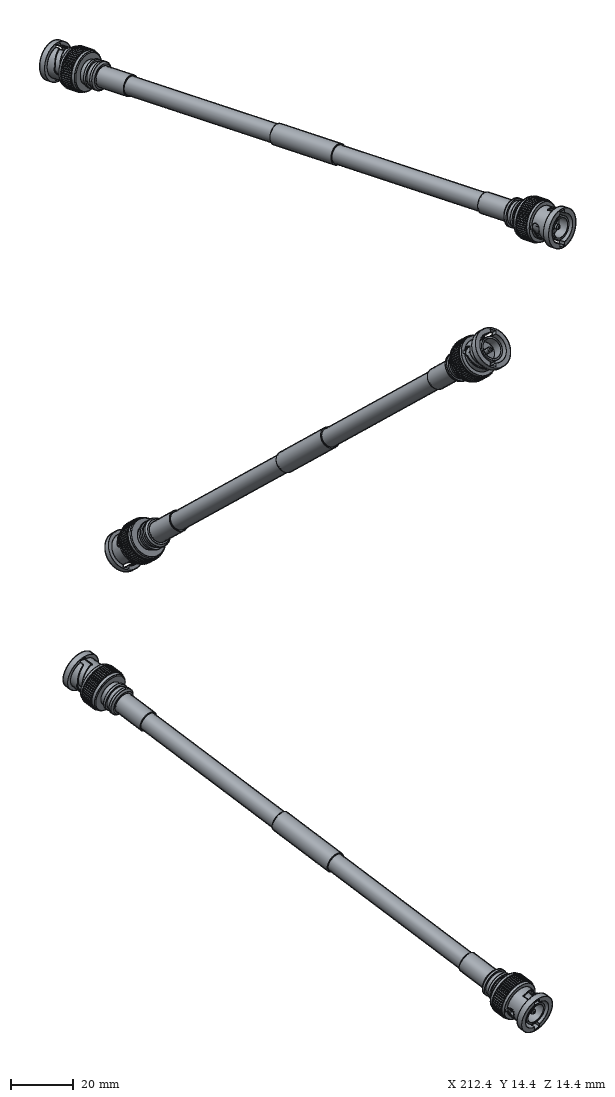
import cadquery as cq
import math

LENGTH = 212.4
KNURL_RADIUS = 7.2
CABLE_RADIUS = 3.2

FRONT_FLANGE_END = 2.1
COLLAR_START = 8.0
KNURL_START = 9.1
KNURL_END = 13.4
COLLAR_END = 14.9
FRONT_RIB_START = 16.8
FRONT_RIB_WIDTH = 0.8
REAR_RIB_START = 19.3
REAR_RIB_WIDTH = 1.5
CONNECTOR_END = REAR_RIB_START + REAR_RIB_WIDTH
FERRULE_END = 32.3

COLLAR_RADIUS = 6.8
SHELL_RADIUS = 5.5
RIB_RADIUS = 4.9
NECK_RADIUS = 4.2
FERRULE_RADIUS = 3.6
COLLAR_CHAMFER = 0.32
RIB_CHAMFER = 0.6

SOCKET_DEPTH = 9.8
SOCKET_RADIUS = 5.0
TUBE_RADIUS = 4.0
TUBE_BORE_RADIUS = 3.5
TUBE_SETBACK = 0.6
INSULATOR_SETBACK = 4.2
PIN_RADIUS = 0.8
PIN_CHAMFER = 0.5
PIN_SETBACK = 1.3

SLOT_COUNT = 2
SLOT_WIDTH = 2.1
SLOT_OUTER_RADIUS = 6.2
HELIX_START = 4.2
LATCH_PLACE = 6.5
LATCH_RADIUS = 1.6
HELIX_ANGLE = 90.0

TOOTH_COUNT = 56
TOOTH_DEPTH = 0.2

LABEL_LENGTH = 25.5
LABEL_RADIUS = 3.6

CABLE_LENGTH = LENGTH - 2 * COLLAR_END


def disc(start, end, radius):
    """Cylinder around the X axis, from one place along X to another."""
    return cq.Workplane("YZ", origin=(start, 0, 0)).circle(radius).extrude(end - start)


def ring(start, end, outer_radius, inner_radius):
    """Tube around the X axis, from one place along X to another."""
    section = cq.Workplane("YZ", origin=(start, 0, 0)).circle(outer_radius).circle(inner_radius)
    return section.extrude(end - start)


def make_knurl():
    """Toothed band with V-shaped valleys around the collar."""
    points = []
    for i in range(2 * TOOTH_COUNT):
        radius = KNURL_RADIUS if i % 2 == 0 else KNURL_RADIUS - TOOTH_DEPTH
        angle = math.pi * i / TOOTH_COUNT
        points.append((radius * math.cos(angle), radius * math.sin(angle)))
    outline = cq.Workplane("YZ", origin=(KNURL_START, 0, 0)).polyline(points).close()
    return outline.extrude(KNURL_END - KNURL_START)


def make_outside():
    """Connector without its openings: flange, shell, knurled collar, neck and ribs."""
    neck = disc(0, CONNECTOR_END, NECK_RADIUS)
    shell = disc(0, COLLAR_START, SHELL_RADIUS)
    flange = disc(0, FRONT_FLANGE_END, COLLAR_RADIUS)
    collar = disc(COLLAR_START, COLLAR_END, COLLAR_RADIUS).faces(">X").chamfer(COLLAR_CHAMFER)
    front_rib = disc(FRONT_RIB_START, FRONT_RIB_START + FRONT_RIB_WIDTH, RIB_RADIUS)
    rear_rib = disc(REAR_RIB_START, CONNECTOR_END, RIB_RADIUS).faces(">X").chamfer(RIB_CHAMFER)
    body = neck
    for piece in (shell, flange, collar, make_knurl(), front_rib, rear_rib):
        body = body.union(piece)
    return body


def cut_socket(body):
    """Open the front: socket gap, contact tube, insulator and centre pin."""
    body = body.cut(ring(0, SOCKET_DEPTH, SOCKET_RADIUS, TUBE_RADIUS))
    body = body.cut(disc(0, TUBE_SETBACK, SOCKET_RADIUS))
    pin = disc(PIN_SETBACK, INSULATOR_SETBACK, PIN_RADIUS).faces("<X").chamfer(PIN_CHAMFER)
    return body.cut(disc(0, INSULATOR_SETBACK, TUBE_BORE_RADIUS)).union(pin)


def make_slot():
    """Cutter for the bayonet slot that enters at the top and latches on the -Y side."""
    wall_middle = (TUBE_RADIUS + SLOT_OUTER_RADIUS) / 2
    wall_depth = SLOT_OUTER_RADIUS - TUBE_RADIUS
    half_width = SLOT_WIDTH / 2

    entry = cq.Workplane("XY", origin=(0, 0, TUBE_RADIUS)).box(
        HELIX_START + half_width, SLOT_WIDTH, wall_depth, centered=(False, True, False)
    )

    rise = LATCH_PLACE - HELIX_START
    pitch = rise * 360 / HELIX_ANGLE
    path = cq.Wire.makeHelix(
        pitch, rise, wall_middle, center=cq.Vector(HELIX_START, 0, 0), dir=cq.Vector(1, 0, 0)
    )
    section = cq.Workplane("XZ", origin=(HELIX_START, 0, wall_middle)).rect(SLOT_WIDTH, wall_depth)
    turn = section.sweep(path, isFrenet=True)

    latch = (
        cq.Workplane("XY", origin=(LATCH_PLACE, 0, TUBE_RADIUS))
        .circle(LATCH_RADIUS)
        .extrude(wall_depth)
        .rotate((0, 0, 0), (1, 0, 0), HELIX_ANGLE)
    )
    return entry.union(turn).union(latch).cut(disc(0, SOCKET_DEPTH, TUBE_RADIUS))


def make_connector():
    """Connector at the -X end of the cable."""
    body = cut_socket(make_outside())
    slot = make_slot()
    for i in range(SLOT_COUNT):
        body = body.cut(slot.rotate((0, 0, 0), (1, 0, 0), i * 360 / SLOT_COUNT))
    body = body.cut(disc(COLLAR_END, CONNECTOR_END, CABLE_RADIUS))
    return body.translate((-LENGTH / 2, 0, 0))


def make_ferrule():
    """Crimp sleeve on the cable behind the connector at the -X end."""
    sleeve = ring(CONNECTOR_END, FERRULE_END, FERRULE_RADIUS, CABLE_RADIUS)
    return sleeve.translate((-LENGTH / 2, 0, 0))


cable = disc(-CABLE_LENGTH / 2, CABLE_LENGTH / 2, CABLE_RADIUS)
label = ring(-LABEL_LENGTH / 2, LABEL_LENGTH / 2, LABEL_RADIUS, CABLE_RADIUS)

connectors = []
ferrules = []
for angle in (0, 180):
    connectors.append(make_connector().rotate((0, 0, 0), (0, 0, 1), angle).val())
    ferrules.append(make_ferrule().rotate((0, 0, 0), (0, 0, 1), angle).val())

result = cq.Compound.makeCompound([cable.val(), label.val(), *connectors, *ferrules])